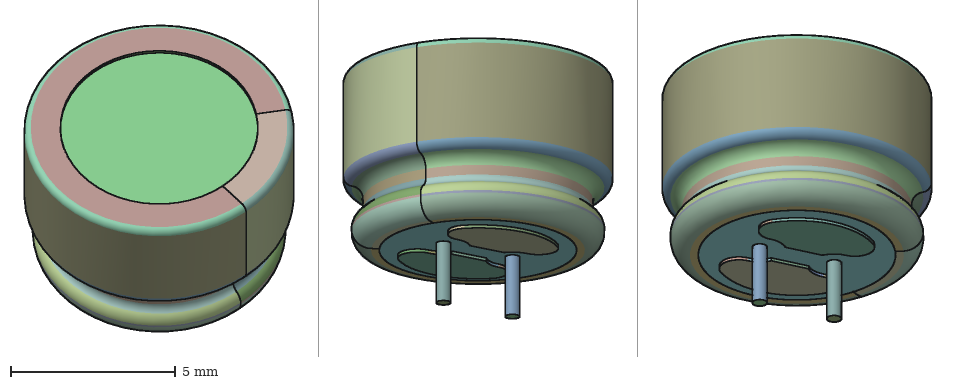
import cadquery as cq
import math


outer_radius = 4.1
sleeve_wall = 0.1
sleeve_bottom = 0.1
sleeve_top = 5.6
sleeve_opening_radius = 3.0
top_edge_radius = 0.2

neck_radius = 3.5
neck_bottom = 1.38
neck_top = 1.69
bulge_radius = 3.85
shoulder_round = 0.3
neck_top_round = 0.4
neck_bottom_round = 0.3
bulge_top_round = 0.4
bulge_bottom_round = 0.6

mark_angle = 60.0

bung_radius = sleeve_opening_radius
foot_radius = 2.5
bung_top = 1.5
foot_inner_y = 0.5
foot_tip_round = 0.6
lead_clearance_radius = 0.8

lead_radius = 0.45 / 2
lead_spacing = 2.5
lead_bottom = -1.8
lead_x = lead_spacing / 2


def polar_point(center, radius, degrees):
    angle = math.radians(degrees)
    return (center[0] + radius * math.cos(angle), center[1] + radius * math.sin(angle))


def add_arc(path, center, radius, start, end):
    """Continue the path with an arc from the start angle to the end angle, in degrees."""
    middle = polar_point(center, radius, (start + end) / 2)
    return path.threePointArc(middle, polar_point(center, radius, end))


def blend_angle(radius_step, convex_round, concave_round):
    """Angle that two tangent arcs turn through to join vertical walls a radius step apart."""
    return math.degrees(math.acos(1 - radius_step / (convex_round + concave_round)))


shoulder_angle = blend_angle(outer_radius - neck_radius, shoulder_round, neck_top_round)
bulge_angle = blend_angle(bulge_radius - neck_radius, bulge_top_round, neck_bottom_round)
shoulder_z = neck_top + (shoulder_round + neck_top_round) * math.sin(math.radians(shoulder_angle))
bulge_z = neck_bottom - (bulge_top_round + neck_bottom_round) * math.sin(math.radians(bulge_angle))


def add_side(path, inset):
    """Trace the beaded side upwards from the bottom face to the top face, moved inwards by inset."""
    bulge_bottom_center = (bulge_radius - bulge_bottom_round, sleeve_bottom + bulge_bottom_round)
    bulge_top_center = (bulge_radius - bulge_top_round, bulge_z)
    neck_bottom_center = (neck_radius + neck_bottom_round, neck_bottom)
    neck_top_center = (neck_radius + neck_top_round, neck_top)
    shoulder_center = (outer_radius - shoulder_round, shoulder_z)
    top_edge_center = (outer_radius - top_edge_radius, sleeve_top - top_edge_radius)

    path = path.lineTo(bulge_bottom_center[0], sleeve_bottom + inset)
    path = add_arc(path, bulge_bottom_center, bulge_bottom_round - inset, -90, 0)
    path = path.lineTo(bulge_radius - inset, bulge_z)
    path = add_arc(path, bulge_top_center, bulge_top_round - inset, 0, bulge_angle)
    path = add_arc(path, neck_bottom_center, neck_bottom_round + inset, 180 + bulge_angle, 180)
    path = path.lineTo(neck_radius - inset, neck_top)
    path = add_arc(path, neck_top_center, neck_top_round + inset, 180, 180 - shoulder_angle)
    path = add_arc(path, shoulder_center, shoulder_round - inset, -shoulder_angle, 0)
    path = path.lineTo(outer_radius - inset, top_edge_center[1])
    return add_arc(path, top_edge_center, top_edge_radius - inset, 0, 90)


def section_face(inset, inner_radius):
    """Half section of the beaded body in the XZ plane, from inner_radius out to the side."""
    path = cq.Workplane("XZ").moveTo(inner_radius, sleeve_bottom + inset)
    path = add_side(path, inset).lineTo(inner_radius, sleeve_top - inset).close()
    return cq.Face.makeFromWires(path.val())


def revolve_section(section, start_angle, sweep):
    """Revolve a section about Z through sweep degrees, starting at start_angle from +X."""
    solid = cq.Solid.revolve(section, sweep, cq.Vector(0, 0, 0), cq.Vector(0, 0, 1))
    return cq.Workplane(solid).rotate((0, 0, 0), (0, 0, 1), start_angle)


def make_sleeve_part(start_angle, sweep):
    wall = section_face(0, sleeve_opening_radius).cut(section_face(sleeve_wall, 0)).Faces()[0]
    return revolve_section(wall, start_angle, sweep)


def make_can():
    can = revolve_section(section_face(sleeve_wall, 0), 0, 360)
    recess = cq.Workplane("XY").circle(bung_radius).extrude(bung_top)
    return can.cut(recess)


def make_foot():
    """Foot on the +Y side, hollowed around both leads, with rounded tips."""
    tip_orbit = foot_radius - foot_tip_round
    tip_gap = lead_clearance_radius + foot_tip_round
    tip_x = (tip_orbit**2 + lead_x**2 - tip_gap**2) / (2 * lead_x)
    tip_y = math.sqrt(tip_orbit**2 - tip_x**2)
    tip = (tip_x, tip_y)
    lead = (lead_x, 0)

    rim_angle = math.degrees(math.atan2(tip_y, tip_x))
    touch_angle = math.degrees(math.atan2(tip_y, tip_x - lead_x))
    notch_angle = 180 - math.degrees(math.asin(foot_inner_y / lead_clearance_radius))

    half = cq.Workplane("XY").moveTo(0, foot_inner_y)
    half = half.lineTo(*polar_point(lead, lead_clearance_radius, notch_angle))
    half = add_arc(half, lead, lead_clearance_radius, notch_angle, touch_angle)
    half = add_arc(half, tip, foot_tip_round, touch_angle - 180, rim_angle)
    half = add_arc(half, (0, 0), foot_radius, rim_angle, 90)
    half = half.close().extrude(sleeve_bottom)
    return half.union(half.mirror("YZ")).clean()


def make_lead(x):
    base = cq.Workplane("XY", origin=(x, 0, lead_bottom))
    return base.circle(lead_radius).extrude(bung_top - lead_bottom)


def make_bung():
    base = cq.Workplane("XY", origin=(0, 0, sleeve_bottom))
    bung = base.circle(bung_radius).extrude(bung_top - sleeve_bottom)
    foot = make_foot()
    bung = bung.union(foot).union(foot.mirror("XZ"))
    for x in (-lead_x, lead_x):
        bung = bung.cut(make_lead(x))
    return bung


mark = make_sleeve_part(-mark_angle / 2, mark_angle)
sleeve = make_sleeve_part(mark_angle / 2, 360 - mark_angle)
can = make_can()
bung = make_bung()
leads = [make_lead(x) for x in (-lead_x, lead_x)]

bodies = [sleeve, mark, can, bung, *leads]
result = cq.Compound.makeCompound([body.solids().val() for body in bodies])